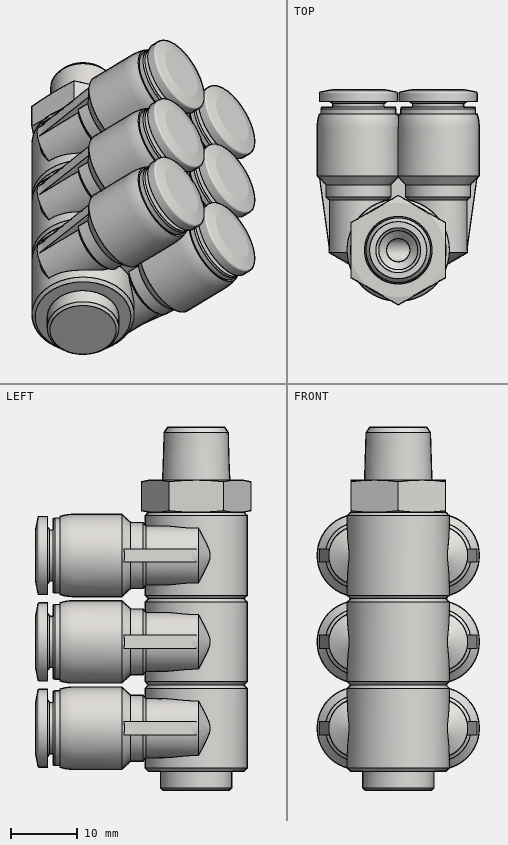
import cadquery as cq
import math

module_count = 3
module_pitch = 13.0
module_d = 15.4
module_chamfer = 0.5
plug_d = 10.78
plug_chamfer = 0.4
stack_base_z = 2.87
stack_top_z = stack_base_z + module_count * module_pitch

hex_flats = 14.3
hex_height = 4.85
hex_face_d = 14.2
hex_chamfer_height = 0.25
hex_corner_r = hex_flats / math.sqrt(3)
hex_top_z = stack_top_z + hex_height

total_height = 54.7
thread_base_d = 10.18
thread_end_d = 9.73
thread_tip_d = 8.6
thread_tip_height = 0.85

bore_d = 5.88
bore_mouth_d = 6.75
passage_d = 3.5
bore_bottom_z = stack_top_z

port_spacing = 12.0
port_x = port_spacing / 2
port_end_y = 24.19
body_d = 12.45
body_shoulder_d = 11.8
body_start_y = 11.2
body_straight_end_y = 18.45
body_end_y = 20.5
stem_d = 8.9
stem_start_y = -0.35
stem_end_y = 7.55
stem_tip_slope = math.radians(30)
step_d = 9.95
step_start_y = 8.0
step_end_y = 9.85
ring_d = 11.3
ring_end_y = 21.55
ring_chamfer_length = 0.3
ring_chamfer_depth = 0.1
neck_d = 7.75
neck_flare_d = 8.6
neck_end_y = 22.05
collar_d = 11.8
collar_start_y = 22.35
collar_fillet_y = 23.55
collar_fillet = 0.3
collar_face_d = 7.75

rib_thickness = 2.0
rib_root_half_width = 10.35
rib_root_y = 0.0
rib_wide_half_width = 11.9


def revolve_about_z(points):
    return cq.Workplane("XZ").polyline(points).close().revolve(360, (0, 0, 0), (0, 1, 0))


def cylinder_z(diameter, bottom_z, top_z):
    return cq.Workplane("XY").workplane(offset=bottom_z).circle(diameter / 2).extrude(top_z - bottom_z)


def port_center_z(index):
    return stack_base_z + (index + 0.5) * module_pitch


def make_plug():
    plug = cylinder_z(plug_d, 0, stack_base_z)
    return plug.faces("<Z").chamfer(plug_chamfer)


def make_module_column(index):
    bottom_z = stack_base_z + index * module_pitch
    column = cylinder_z(module_d, bottom_z, bottom_z + module_pitch)
    return column.faces("<Z or >Z").chamfer(module_chamfer)


def make_hex():
    blank = (
        cq.Workplane("XY")
        .workplane(offset=stack_top_z)
        .transformed(rotate=(0, 0, 90))
        .polygon(6, 2 * hex_corner_r)
        .extrude(hex_height)
    )
    face_r = hex_face_d / 2
    corner_trim = revolve_about_z([
        (0, stack_top_z),
        (face_r, stack_top_z),
        (hex_corner_r, stack_top_z + hex_chamfer_height),
        (hex_corner_r, hex_top_z - hex_chamfer_height),
        (face_r, hex_top_z),
        (0, hex_top_z),
    ])
    return blank.intersect(corner_trim)


def make_thread_stub():
    return revolve_about_z([
        (0, hex_top_z),
        (thread_base_d / 2, hex_top_z),
        (thread_end_d / 2, total_height - thread_tip_height),
        (thread_tip_d / 2, total_height),
        (0, total_height),
    ])


def make_bore():
    """Chamfered bore with a 45 degree bottom and a narrow passage that ends in a round trough."""
    bore_r = bore_d / 2
    mouth_r = bore_mouth_d / 2
    passage_r = passage_d / 2
    passage_end_z = port_center_z(module_count - 1)
    bore = revolve_about_z([
        (0, passage_end_z),
        (passage_r, passage_end_z),
        (passage_r, bore_bottom_z - (bore_r - passage_r)),
        (bore_r, bore_bottom_z),
        (bore_r, total_height - (mouth_r - bore_r)),
        (mouth_r, total_height),
        (0, total_height),
    ])
    trough = (
        cq.Workplane("YZ")
        .center(0, passage_end_z)
        .circle(passage_r)
        .extrude(passage_r, both=True)
        .intersect(cylinder_z(passage_d, passage_end_z - passage_r, passage_end_z + passage_r))
    )
    return bore.union(trough)


def make_port():
    """One port, revolved about the Y axis."""
    body_r = body_d / 2
    shoulder_drop = (body_d - body_shoulder_d) / 2
    tip_length = stem_d / 2 * math.tan(stem_tip_slope)
    profile = (
        cq.Workplane("XY")
        .moveTo(0, stem_start_y - tip_length)
        .lineTo(stem_d / 2, stem_start_y)
        .lineTo(stem_d / 2, stem_end_y)
        .lineTo(step_d / 2, step_start_y)
        .lineTo(step_d / 2, step_end_y)
        .lineTo(body_r, body_start_y)
        .lineTo(body_r, body_straight_end_y)
        .tangentArcPoint((-shoulder_drop, body_end_y - body_straight_end_y))
        .lineTo(ring_d / 2, body_end_y)
        .lineTo(ring_d / 2, ring_end_y - ring_chamfer_length)
        .lineTo(ring_d / 2 - ring_chamfer_depth, ring_end_y)
        .lineTo(neck_d / 2, ring_end_y)
        .lineTo(neck_d / 2, neck_end_y)
        .lineTo(neck_flare_d / 2, collar_start_y)
        .lineTo(collar_d / 2, collar_start_y)
        .lineTo(collar_d / 2, collar_fillet_y)
        .tangentArcPoint((-collar_fillet, collar_fillet))
        .lineTo(collar_face_d / 2, port_end_y)
        .lineTo(0, port_end_y)
        .close()
    )
    return profile.revolve(360, (0, 0, 0), (0, 1, 0))


def make_rib():
    return (
        cq.Workplane("XY")
        .polyline([
            (-rib_root_half_width, rib_root_y),
            (rib_root_half_width, rib_root_y),
            (rib_wide_half_width, body_start_y),
            (-rib_wide_half_width, body_start_y),
        ])
        .close()
        .extrude(rib_thickness / 2, both=True)
    )


def make_port_pair():
    left_port = make_port().translate((-port_x, 0, 0))
    right_port = make_port().translate((port_x, 0, 0))
    return left_port.union(right_port).union(make_rib())


fitting = make_plug().union(make_hex()).union(make_thread_stub())
port_pair = make_port_pair()
for module_index in range(module_count):
    fitting = fitting.union(make_module_column(module_index))
    fitting = fitting.union(port_pair.translate((0, 0, port_center_z(module_index))))

result = fitting.cut(make_bore())